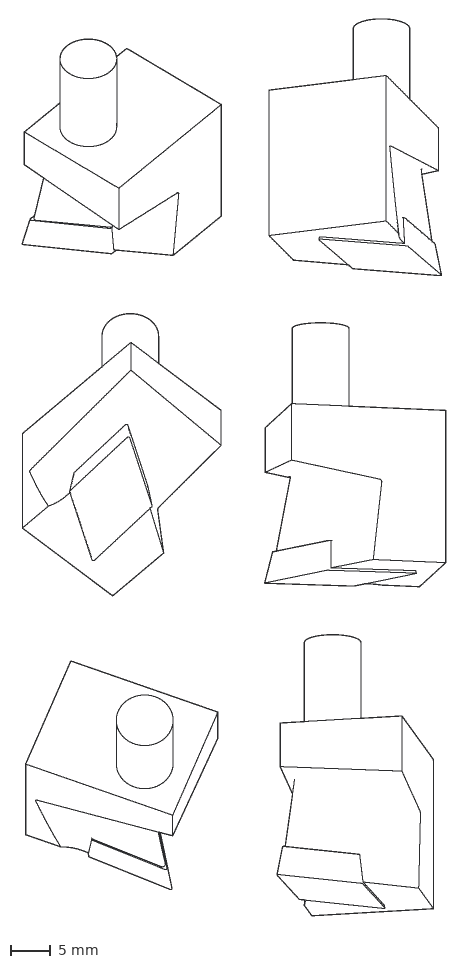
import cadquery as cq
import math


BLOCK_WIDTH = 15.75
BLOCK_DEPTH = 20.0
BLOCK_BOTTOM = 0.32
BLOCK_TOP = 20.0
SHANK_DIAMETER = 7.2
SHANK_X = 5.57
SHANK_Y = 6.0
SHANK_TOP = 32

NOSE_ANGLE = 55
INSCRIBED_DIAMETER = 9.55
INSERT_THICKNESS = 3.97
INSERT_NOSE_RADIUS = 0.2
RELIEF_ANGLE = 7
INSERT_OVERHANG = 0.45
FRONT_EDGE_ANGLE = 32
SIDE_EDGE_ANGLE = FRONT_EDGE_ANGLE + NOSE_ANGLE

LEAN_X = 0.097
LEAN_Y = 0.172
HEAD_NOSE_RADIUS = 0.4
HEAD_NOSE_X = 1.6
HEAD_NOSE_Y = 3.33
HEAD_NOSE_Z = 13.5
HEAD_SIDE_LENGTH = 11.0
FLUTE_RADIUS = 6.6
CEILING_FILLET = 0.3
CLEARANCE_REACH = 32


def step(point, angle, distance):
    """Return the point reached by going a distance in a direction in degrees."""
    a = math.radians(angle)
    return (point[0] + distance * math.cos(a), point[1] + distance * math.sin(a))


def make_insert():
    side = INSCRIBED_DIAMETER / math.sin(math.radians(NOSE_ANGLE))
    half_angle = NOSE_ANGLE / 2
    nose_centre = (INSERT_NOSE_RADIUS - INSERT_OVERHANG, INSERT_NOSE_RADIUS)
    corner_offset = INSERT_NOSE_RADIUS / math.sin(math.radians(half_angle))
    nose = step(nose_centre, FRONT_EDGE_ANGLE + half_angle, -corner_offset)
    front_corner = step(nose, FRONT_EDGE_ANGLE, side)
    back_corner = step(front_corner, SIDE_EDGE_ANGLE, side)
    side_corner = step(nose, SIDE_EDGE_ANGLE, side)
    return (
        cq.Workplane("XY")
        .polyline([nose, front_corner, back_corner, side_corner])
        .close()
        .extrude(INSERT_THICKNESS, taper=RELIEF_ANGLE)
        .edges("not(#Z)")
        .fillet(INSERT_NOSE_RADIUS)
    )


def make_clearance():
    """Space removed in front of and beside the head, up to a sloping ceiling."""
    ceiling = cq.Plane(
        origin=(HEAD_NOSE_X, HEAD_NOSE_Y, HEAD_NOSE_Z),
        xDir=(1, 0, -LEAN_X),
        normal=(LEAN_X, LEAN_Y, 1),
    )
    nose_centre = (0, 0)
    outward = SIDE_EDGE_ANGLE + 90
    front_tangent = step(nose_centre, FRONT_EDGE_ANGLE - 90, HEAD_NOSE_RADIUS)
    nose_tip = step(nose_centre, FRONT_EDGE_ANGLE + NOSE_ANGLE / 2, -HEAD_NOSE_RADIUS)
    side_tangent = step(nose_centre, outward, HEAD_NOSE_RADIUS)
    flute_start = step(side_tangent, SIDE_EDGE_ANGLE, HEAD_SIDE_LENGTH)
    flute_centre = step(flute_start, outward, FLUTE_RADIUS)
    flute_middle = step(flute_centre, SIDE_EDGE_ANGLE - 45, FLUTE_RADIUS)
    flute_end = step(flute_centre, SIDE_EDGE_ANGLE, FLUTE_RADIUS)
    front_end = step(front_tangent, FRONT_EDGE_ANGLE, CLEARANCE_REACH)
    return (
        cq.Workplane(ceiling)
        .moveTo(*front_end)
        .lineTo(*front_tangent)
        .threePointArc(nose_tip, side_tangent)
        .lineTo(*flute_start)
        .threePointArc(flute_middle, flute_end)
        .lineTo(-CLEARANCE_REACH, flute_end[1])
        .lineTo(-CLEARANCE_REACH, -CLEARANCE_REACH)
        .lineTo(front_end[0], -CLEARANCE_REACH)
        .close()
        .extrude(-CLEARANCE_REACH)
        .faces(cq.selectors.DirectionMinMaxSelector(ceiling.zDir, True))
        .edges()
        .fillet(CEILING_FILLET)
    )


def make_holder(insert):
    block = cq.Workplane("XY", origin=(0, 0, BLOCK_BOTTOM)).box(
        BLOCK_WIDTH, BLOCK_DEPTH, BLOCK_TOP - BLOCK_BOTTOM, centered=False
    )
    shank = (
        cq.Workplane("XY", origin=(SHANK_X, SHANK_Y, BLOCK_TOP))
        .circle(SHANK_DIAMETER / 2)
        .extrude(SHANK_TOP - BLOCK_TOP)
    )
    return block.union(shank).cut(make_clearance()).cut(insert)


insert = make_insert()
holder = make_holder(insert)
result = cq.Compound.makeCompound([holder.solids().val(), insert.solids().val()])